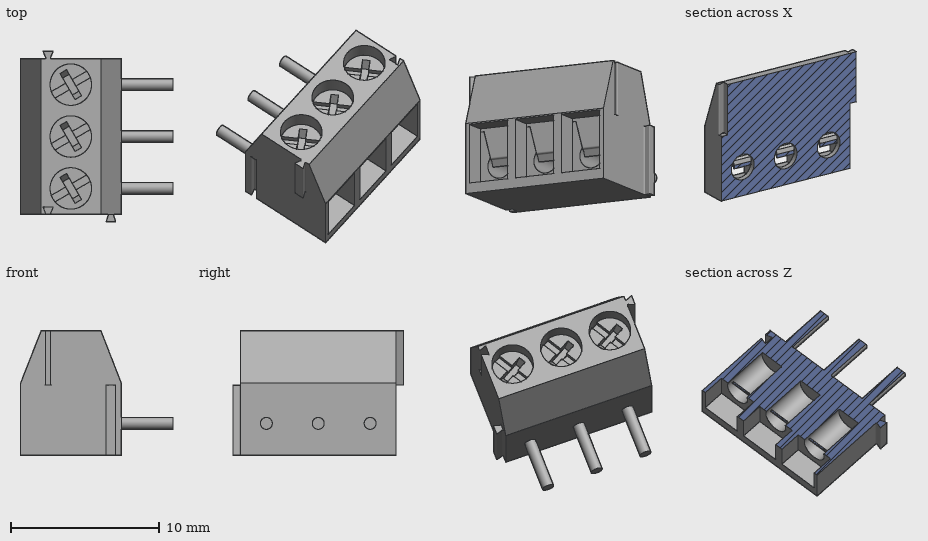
import cadquery as cq
import math

BODY_WIDTH = 6.81
BODY_LENGTH = 10.49
BODY_HEIGHT = 8.4
ENTRY_SHOULDER_Z = 4.83
PIN_SHOULDER_Z = 4.88
TOP_START_X = 1.4
TOP_END_X = 5.44

POLE_COUNT = 3
POLE_PITCH = 3.5
POLE_YS = [(i - (POLE_COUNT - 1) / 2) * POLE_PITCH for i in range(POLE_COUNT)]

POCKET_WIDTH = 2.91
POCKET_BOTTOM_Z = 0.7
POCKET_TOP_Z = 4.74
POCKET_DEPTH = 1.62
WIRE_AXIS_Z = 2.1
WIRE_HOLE_DIAMETER = 1.8
WIRE_HOLE_DEPTH = 3.45

GUARD_RELIEF = 0.03
GUARD_THICKNESS = 0.12
GUARD_SHOULDER_Z = 4.52
GUARD_TOP_WIDTH = 2.38
TONGUE_WIDTH = 1.41
TONGUE_TOP_Z = 2.67
TONGUE_SLOPE = 65.0
OUTER_BEND_RADIUS = 0.12
INNER_BEND_RADIUS = 0.09

SCREW_X = BODY_WIDTH / 2
WELL_DIAMETER = 2.8
WELL_DEPTH = 1.21
SLOT_ANGLE = 30.0
LONG_SLOT_WIDTH = 0.51
LONG_SLOT_DEPTH = 0.37
SHORT_SLOT_WIDTH = 0.51
SHORT_SLOT_LENGTH = 2.02
SHORT_SLOT_FLOOR_LENGTH = 1.31
SHORT_SLOT_DEPTH = 0.58

PIN_DIAMETER = 0.8
PIN_LENGTH = 3.5
PIN_AXIS_Z = 2.15

DOVETAIL_HEIGHT = 0.51
DOVETAIL_SPLIT_Z = 4.73
DOVETAIL_ROOT_RADIUS = 0.06
DOVETAIL_TIP_RADIUS = 0.02
DOVETAIL_FOOT = 0.23
UPPER_DOVETAIL_X = 1.87
UPPER_TIP_WIDTH = 0.7
UPPER_NECK_WIDTH = 0.28
LOWER_DOVETAIL_X = 6.11
LOWER_TIP_WIDTH = 0.65
LOWER_NECK_WIDTH = 0.35


def box(x_range, y_range, z_range):
    size = [high - low for low, high in (x_range, y_range, z_range)]
    return cq.Workplane("XY").box(*size, centered=False).translate((x_range[0], y_range[0], z_range[0]))


def make_housing():
    outline = [
        (0, 0),
        (BODY_WIDTH, 0),
        (BODY_WIDTH, PIN_SHOULDER_Z),
        (TOP_END_X, BODY_HEIGHT),
        (TOP_START_X, BODY_HEIGHT),
        (0, ENTRY_SHOULDER_Z),
    ]
    return cq.Workplane("XZ").polyline(outline).close().extrude(BODY_LENGTH / 2, both=True)


def make_dovetail(center_x, base_y, direction, tip_width, neck_width, bottom_z, top_z):
    """Upright dovetail bar that leaves the plane y = base_y toward direction (+1 or -1 along Y).

    A foot lies behind that plane, so the rounded neck blends into the plane on a rib
    and opens out into it on a groove.
    """
    right_half = [
        (tip_width / 2, -DOVETAIL_FOOT),
        (tip_width / 2, 0),
        (neck_width / 2, 0),
        (tip_width / 2, DOVETAIL_HEIGHT),
    ]
    left_half = [(-x, y) for x, y in reversed(right_half)]
    outline = [(center_x + x, base_y + direction * y) for x, y in right_half + left_half]
    bar = cq.Workplane("XY").workplane(offset=bottom_z).polyline(outline).close().extrude(top_z - bottom_z)
    tip_side = ">Y" if direction > 0 else "<Y"
    bar = bar.faces(tip_side).edges("|Z").fillet(DOVETAIL_TIP_RADIUS)
    neck_edges = cq.selectors.BoxSelector(
        (center_x - neck_width, base_y - DOVETAIL_ROOT_RADIUS, bottom_z),
        (center_x + neck_width, base_y + DOVETAIL_ROOT_RADIUS, top_z),
    )
    return bar.edges("|Z").edges(neck_edges).fillet(DOVETAIL_ROOT_RADIUS)


def make_upper_dovetail(base_y):
    return make_dovetail(
        UPPER_DOVETAIL_X, base_y, 1, UPPER_TIP_WIDTH, UPPER_NECK_WIDTH, DOVETAIL_SPLIT_Z, BODY_HEIGHT
    )


def make_lower_dovetail(base_y):
    return make_dovetail(
        LOWER_DOVETAIL_X, base_y, -1, LOWER_TIP_WIDTH, LOWER_NECK_WIDTH, 0, DOVETAIL_SPLIT_Z
    )


def make_wire_entry(y):
    pocket = box(
        (0, POCKET_DEPTH),
        (y - POCKET_WIDTH / 2, y + POCKET_WIDTH / 2),
        (POCKET_BOTTOM_Z, POCKET_TOP_Z),
    )
    hole = (
        cq.Workplane("YZ", origin=(POCKET_DEPTH, y, WIRE_AXIS_Z))
        .circle(WIRE_HOLE_DIAMETER / 2)
        .extrude(WIRE_HOLE_DEPTH)
    )
    return pocket.union(hole)


def make_wire_guard(y):
    """Tapered leaf over the top of the wire hole; its tongue bends inward, then slopes down."""
    front_x = POCKET_DEPTH - GUARD_RELIEF
    back_x = front_x + GUARD_THICKNESS
    leaf_half = [
        (TONGUE_WIDTH / 2, TONGUE_TOP_Z),
        (GUARD_TOP_WIDTH / 2, GUARD_SHOULDER_Z),
        (POCKET_WIDTH / 2, GUARD_SHOULDER_Z),
        (POCKET_WIDTH / 2, POCKET_TOP_Z),
    ]
    other_half = [(-across, z) for across, z in reversed(leaf_half)]
    leaf = (
        cq.Workplane("YZ", origin=(front_x, y, 0))
        .polyline(leaf_half + other_half)
        .close()
        .extrude(GUARD_THICKNESS)
    )
    slope = math.radians(TONGUE_SLOPE)
    nose_x = front_x + OUTER_BEND_RADIUS
    nose_z = TONGUE_TOP_Z - OUTER_BEND_RADIUS
    slope_start_x = nose_x + INNER_BEND_RADIUS * math.sin(slope)
    slope_start_z = nose_z - INNER_BEND_RADIUS * (1 - math.cos(slope))
    tongue_end_x = slope_start_x + (slope_start_z - WIRE_AXIS_Z) / math.tan(slope)
    tongue = (
        cq.Workplane("XZ", origin=(0, y, 0))
        .moveTo(front_x, TONGUE_TOP_Z)
        .radiusArc((nose_x, nose_z), -OUTER_BEND_RADIUS)
        .radiusArc((slope_start_x, slope_start_z), INNER_BEND_RADIUS)
        .lineTo(tongue_end_x, WIRE_AXIS_Z)
        .lineTo(tongue_end_x + GUARD_THICKNESS, WIRE_AXIS_Z)
        .lineTo(slope_start_x + GUARD_THICKNESS, TONGUE_TOP_Z)
        .lineTo(back_x, TONGUE_TOP_Z + GUARD_THICKNESS)
        .lineTo(front_x, TONGUE_TOP_Z + GUARD_THICKNESS)
        .close()
        .extrude(TONGUE_WIDTH / 2, both=True)
    )
    return leaf.union(tongue)


def make_screw_recess(y):
    """Screw well, with the two driver slots sunk into the screw head at its floor."""
    floor_z = BODY_HEIGHT - WELL_DEPTH
    long_slot_z = floor_z - LONG_SLOT_DEPTH
    short_slot_z = floor_z - SHORT_SLOT_DEPTH
    well_radius = WELL_DIAMETER / 2
    well = cq.Workplane("XY").workplane(offset=floor_z).circle(well_radius).extrude(WELL_DEPTH)
    head = cq.Workplane("XY").workplane(offset=long_slot_z).circle(well_radius).extrude(LONG_SLOT_DEPTH)
    long_slot = box(
        (-well_radius, well_radius),
        (-LONG_SLOT_WIDTH / 2, LONG_SLOT_WIDTH / 2),
        (long_slot_z, floor_z),
    )
    short_slot = (
        cq.Workplane("YZ")
        .polyline([
            (-SHORT_SLOT_LENGTH / 2, floor_z),
            (-SHORT_SLOT_FLOOR_LENGTH / 2, short_slot_z),
            (SHORT_SLOT_FLOOR_LENGTH / 2, short_slot_z),
            (SHORT_SLOT_LENGTH / 2, floor_z),
        ])
        .close()
        .extrude(SHORT_SLOT_WIDTH / 2, both=True)
    )
    recess = well.union(head.intersect(long_slot)).union(short_slot)
    return recess.rotate((0, 0, 0), (0, 0, 1), SLOT_ANGLE).translate((SCREW_X, y, 0))


def make_pin(y):
    return (
        cq.Workplane("YZ", origin=(BODY_WIDTH, y, PIN_AXIS_Z))
        .circle(PIN_DIAMETER / 2)
        .extrude(PIN_LENGTH)
    )


near_end_y = -BODY_LENGTH / 2
far_end_y = BODY_LENGTH / 2

result = make_housing()
for pole_y in POLE_YS:
    result = result.cut(make_wire_entry(pole_y))
    result = result.union(make_wire_guard(pole_y))
    result = result.cut(make_screw_recess(pole_y))
    result = result.union(make_pin(pole_y))

result = result.cut(make_upper_dovetail(near_end_y)).union(make_upper_dovetail(far_end_y))
result = result.union(make_lower_dovetail(near_end_y)).cut(make_lower_dovetail(far_end_y))